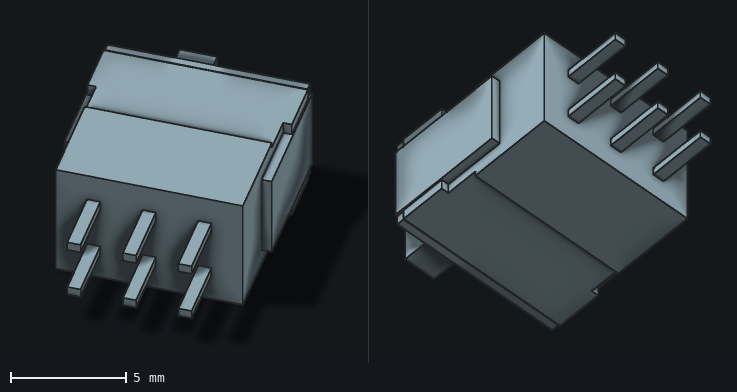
import cadquery as cq

pin_length = 3.0
base_length = 4.4
neck_length = 1.72
shoulder_length = 2.46
cap_length = 0.43
knob_length = 2.29

base_width = 8.48
base_height = 5.65
shoulder_width = 9.27
upper_height = 5.13
cap_width = 9.18
cap_height = 5.05
clip_width = 9.4
clip_height = 4.0
clip_length = 6.16
knob_width = 1.72
knob_height = 2.03
knob_offset = -1.15
pin_width = 0.6
pin_height = 0.43

pin_columns = 3
pin_rows = 2
column_pitch = 2.52
row_pitch = 2.55

neck_start = base_length
shoulder_start = neck_start + neck_length
cap_start = shoulder_start + shoulder_length
cap_end = cap_start + cap_length


def block(width, height, start, length, x=0, z=0):
    """Box centred on (x, z), running along +Y from start."""
    return cq.Workplane("XY").box(width, length, height).translate((x, start + length / 2, z))


housing = (
    block(base_width, base_height, 0, base_length)
    .union(block(base_width, upper_height, neck_start, neck_length))
    .union(block(shoulder_width, upper_height, shoulder_start, shoulder_length))
    .union(block(cap_width, cap_height, cap_start, cap_length))
)

clip = block(clip_width, clip_height, cap_end - clip_length, clip_length)

knob = block(knob_width, knob_height, cap_end, knob_length, x=knob_offset)

result = housing.union(clip).union(knob)

for column in range(pin_columns):
    for row in range(pin_rows):
        pin_x = (column - (pin_columns - 1) / 2) * column_pitch
        pin_z = (row - (pin_rows - 1) / 2) * row_pitch
        pin = block(pin_width, pin_height, -pin_length, pin_length, x=pin_x, z=pin_z)
        result = result.union(pin)